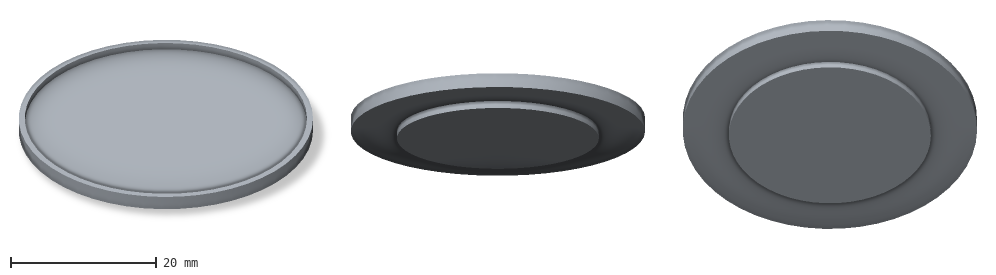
import cadquery as cq

rim_diameter = 40.5
recess_diameter = 38.85
foot_diameter = 27.8
total_height = 3.0
foot_height = 1.0
recess_depth = 1.0

disc_height = total_height - foot_height

foot = cq.Workplane("XY").circle(foot_diameter / 2).extrude(foot_height)

disc = (
    cq.Workplane("XY")
    .workplane(offset=foot_height)
    .circle(rim_diameter / 2)
    .extrude(disc_height)
)

recess = (
    cq.Workplane("XY")
    .workplane(offset=total_height - recess_depth)
    .circle(recess_diameter / 2)
    .extrude(recess_depth)
)

result = foot.union(disc).cut(recess)